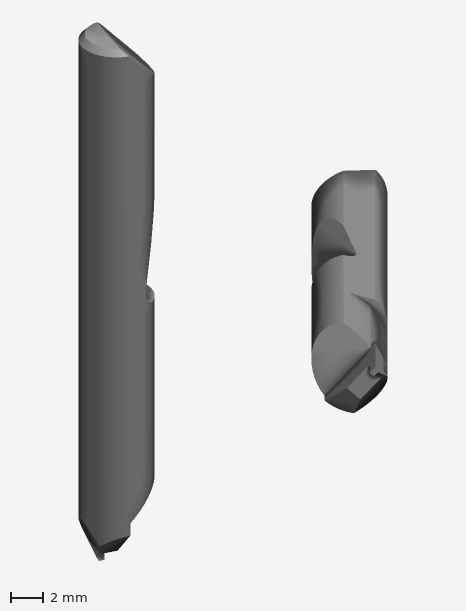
import cadquery as cq
import math

DIAMETER = 4.76
LENGTH = 38.1
RADIUS = DIAMETER / 2
MARGIN = 2.0
REACH = RADIUS + MARGIN

END_CHAMFER = 0.4
BEVEL_TOP_Y = -0.55

FLAT_NORMAL_ANGLE = 154
FLAT_DEPTH = 0.23

NOTCH_BOTTOM_Z = 19.6
NOTCH_TOP_Z = 28.3
NOTCH_RADIUS = 0.9
NOTCH_TAPER = 9.5

TIP_LEDGE_Z = 4.53
NECK_TOP_Z = 12.68
NECK_X = -1.9
NECK_RADIUS = 5.0
NECK_ANGLE = 15.6

RAKE_Y = -0.05
RAKE_TOP_Z = 4.65
TIP_WIDTH = 0.53
TIP_END_Y = -0.4
SIDE_CLEARANCE = 22
FRONT_CLEARANCE_Z = 4.29
BODY_BOTTOM_Z = 1.71
ROOT_CHAMFER = 0.3
CORNER_CHAMFER = 2.08


def prism_along_x(points):
    """Prism through the whole bar along X from an outline of (Y, Z) points."""
    return cq.Workplane("YZ").polyline(points).close().extrude(REACH, both=True)


def make_shank():
    bar = cq.Workplane("XY").circle(RADIUS).extrude(LENGTH)
    return bar.faces(">Z").chamfer(END_CHAMFER)


def end_bevel():
    rise = REACH - BEVEL_TOP_Y
    return prism_along_x([
        (BEVEL_TOP_Y - MARGIN, LENGTH + MARGIN),
        (REACH, LENGTH + MARGIN),
        (REACH, LENGTH - rise),
    ])


def side_flat():
    block = cq.Workplane("XY").box(MARGIN, 2 * REACH, LENGTH, centered=(False, True, False))
    block = block.translate((RADIUS - FLAT_DEPTH, 0, 0))
    return block.rotate((0, 0, 0), (0, 0, 1), FLAT_NORMAL_ANGLE)


def clamp_notch():
    """Tapered floor running tangentially into a rounded lower end."""
    taper = math.radians(NOTCH_TAPER)
    arc_z = NOTCH_BOTTOM_Z + NOTCH_RADIUS
    floor_drop = (NOTCH_TOP_Z - arc_z) * math.tan(taper)
    arc_y = RADIUS - floor_drop + NOTCH_RADIUS / math.cos(taper)

    def on_arc(angle):
        return (arc_y + NOTCH_RADIUS * math.cos(angle), arc_z + NOTCH_RADIUS * math.sin(angle))

    start = -math.pi / 2
    end = -math.pi - taper
    top = (REACH, NOTCH_TOP_Z + MARGIN / math.tan(taper))
    outline = (
        cq.Workplane("YZ")
        .moveTo(REACH, NOTCH_BOTTOM_Z)
        .lineTo(*on_arc(start))
        .threePointArc(on_arc((start + end) / 2), on_arc(end))
        .lineTo(*top)
        .close()
    )
    return outline.extrude(REACH, both=True)


def neck_relief():
    def round_x(y):
        return NECK_X + NECK_RADIUS - math.sqrt(NECK_RADIUS**2 - (y - RAKE_Y) ** 2)

    lower_x = NECK_X + (REACH + RAKE_Y) * math.tan(math.radians(NECK_ANGLE))
    outline = (
        cq.Workplane("XY")
        .workplane(offset=TIP_LEDGE_Z)
        .moveTo(-REACH, -REACH)
        .lineTo(lower_x, -REACH)
        .lineTo(NECK_X, RAKE_Y)
        .threePointArc((round_x(RADIUS / 2), RADIUS / 2), (round_x(RADIUS), RADIUS))
        .lineTo(-REACH, RADIUS)
        .close()
    )
    return outline.extrude(NECK_TOP_Z - TIP_LEDGE_Z)


def rake_cut():
    """Rake face just below the bar axis in Y, with a 45 degree run-out above it."""
    return prism_along_x([
        (RAKE_Y, -MARGIN),
        (RAKE_Y, RAKE_TOP_Z),
        (REACH, RAKE_TOP_Z + REACH - RAKE_Y),
        (REACH, -MARGIN),
    ])


def front_clearance():
    slope = FRONT_CLEARANCE_Z / (RADIUS + TIP_END_Y)
    return prism_along_x([
        (TIP_END_Y, 0),
        (-REACH, slope * (REACH + TIP_END_Y)),
        (-REACH, 0),
    ])


def side_clearance():
    shift = REACH * math.tan(math.radians(SIDE_CLEARANCE))
    outline = [
        (-RADIUS, 0),
        (-RADIUS + shift, -REACH),
        (-RADIUS - MARGIN, -REACH),
        (-RADIUS - MARGIN, 0),
    ]
    return cq.Workplane("XY").polyline(outline).close().extrude(TIP_LEDGE_Z)


def body_end():
    """Clears the space beside the tip, leaving a chamfered root and an outer 45 degree corner."""
    tip_x = -RADIUS + TIP_WIDTH
    corner_x = RADIUS - CORNER_CHAMFER
    outline = [
        (tip_x, -MARGIN),
        (tip_x, BODY_BOTTOM_Z - ROOT_CHAMFER),
        (tip_x + ROOT_CHAMFER, BODY_BOTTOM_Z),
        (corner_x, BODY_BOTTOM_Z),
        (REACH, BODY_BOTTOM_Z + REACH - corner_x),
        (REACH, -MARGIN),
    ]
    return cq.Workplane("XZ").polyline(outline).close().extrude(REACH, both=True)


result = make_shank()
for cutter in (
    end_bevel(),
    side_flat(),
    clamp_notch(),
    neck_relief(),
    rake_cut(),
    front_clearance(),
    side_clearance(),
    body_end(),
):
    result = result.cut(cutter)